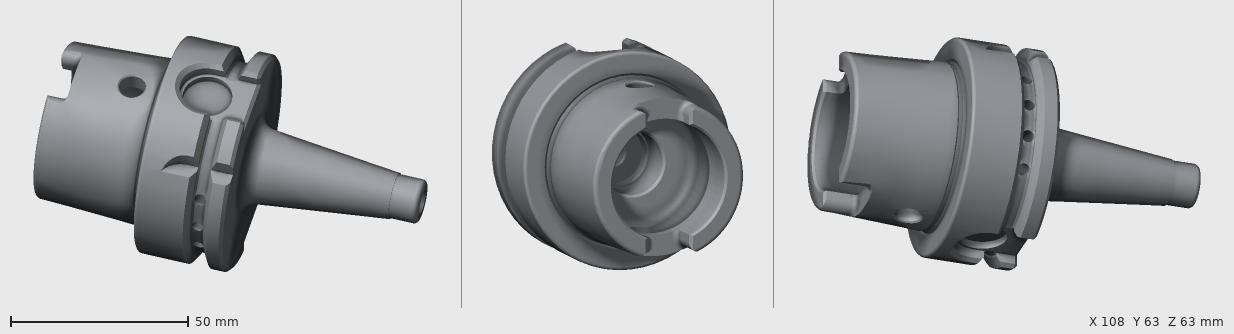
import cadquery as cq
import math


FLANGE_FACE_X = 32.0
TAPER_END_X = 29.9
TAPER_END_RADIUS = 24.2
TAPER_RATE = 0.05
SHANK_ROUND = 1.3
RELIEF_RADIUS = 23.9
RELIEF_LIP_RADIUS = 24.6
RELIEF_OUTER_RADIUS = 25.3
RELIEF_DEPTH = 0.4

FLANGE_RADIUS = 63.0 / 2
FLANGE_END_X = 58.1
FLANGE_ROUND = 1.0
FLANGE_END_CHAMFER = 1.0
GROOVE_START_X = 46.5
GROOVE_END_X = 53.4
GROOVE_WALL_START_X = 48.0
GROOVE_WALL_END_X = 51.7
GROOVE_FLOOR_RADIUS = 27.5
GROOVE_START_DROP = 2.0
GROOVE_END_DROP = 2.8
GROOVE_CORNER = 0.5

NECK_ROUND = 4.3
NECK_RADIUS = 10.8
CONE_END_X = 99.9
CONE_END_RADIUS = 6.7
TIP_RADIUS = 6.4
TIP_ROUND = 1.3
LENGTH = 108.0

MOUTH_RADIUS = 17.1
MOUTH_CHAMFER = 0.6
MOUTH_DEPTH = 12.4
CHAMBER_RADIUS = 18.5
CHAMBER_END_X = 27.8
CHAMBER_ROUND = 2.7
THREAD_RADIUS = 9.1
THREAD_CHAMFER = 0.6
THREAD_END_X = 38.9
COUNTERBORE_RADIUS = 8.5
COUNTERBORE_END_X = 43.2
TOOL_BORE_RADIUS = 3.2
TOOL_BORE_CHAMFER = 0.5

SLOT_HALF_WIDTH = 6.3
SLOT_FLARE_START_Z = 18.0
SLOT_FLARE_RADIUS = 2.8
SLOT_ROUND = 1.6
SLOT_ENTRY_WIDEN = 1.0
SLOT_ENTRY_DEPTH = 0.8
TOP_SLOT_DEPTH = 5.9
BOTTOM_SLOT_DEPTH = 9.7

CROSS_HOLE_X = 22.9
CROSS_HOLE_RADIUS = 3.8
CROSS_HOLE_CHAMFER = 0.4

POCKET_CENTER_X = 44.9
POCKET_RADIUS = 7.9
POCKET_FLOOR_Z = 26.6
POCKET_CHAMFER = 1.3
EDGE_MARGIN = 0.1
RECESS_RADIUS = 7.0
RECESS_DEPTH = 2.2
NOTCH_RADIUS = 7.6
NOTCH_WALL_Y = -20.1
NOTCH_FLOOR_Z = 20.0
BALANCE_HOLE_X = (GROOVE_WALL_START_X + GROOVE_WALL_END_X) / 2
BALANCE_HOLE_RADIUS = 1.7
BALANCE_HOLE_DEPTH = 13.0
DRILL_POINT_ANGLE = 118
BALANCE_HOLE_ANGLES = (25, 5, -15, -35)


def revolve_about_x(profile):
    return profile.close().revolve(360, (0, 0, 0), (1, 0, 0))


def quarter_round(profile, end, center, radius):
    """Continue a profile to `end` along the short arc about `center`."""
    start = profile.val().endPoint()
    middle_x = (start.x + end[0]) / 2 - center[0]
    middle_y = (start.y + end[1]) / 2 - center[1]
    scale = radius / math.hypot(middle_x, middle_y)
    return profile.threePointArc((center[0] + middle_x * scale, center[1] + middle_y * scale), end)


def outer_body():
    mouth_edge = TAPER_END_RADIUS - TAPER_RATE * (TAPER_END_X - SHANK_ROUND)
    lip_x = FLANGE_FACE_X + RELIEF_DEPTH
    profile = cq.Workplane("XY").lineTo(0, mouth_edge - SHANK_ROUND)
    profile = quarter_round(profile, (SHANK_ROUND, mouth_edge),
                            (SHANK_ROUND, mouth_edge - SHANK_ROUND), SHANK_ROUND)
    profile = (
        profile.lineTo(TAPER_END_X, TAPER_END_RADIUS)
        .lineTo(TAPER_END_X + RELIEF_DEPTH, RELIEF_RADIUS)
        .lineTo(FLANGE_FACE_X - RELIEF_DEPTH, RELIEF_RADIUS)
        .lineTo(lip_x, RELIEF_LIP_RADIUS)
        .lineTo(FLANGE_FACE_X, RELIEF_OUTER_RADIUS)
        .lineTo(FLANGE_FACE_X, FLANGE_RADIUS - FLANGE_ROUND)
    )
    profile = quarter_round(profile, (FLANGE_FACE_X + FLANGE_ROUND, FLANGE_RADIUS),
                            (FLANGE_FACE_X + FLANGE_ROUND, FLANGE_RADIUS - FLANGE_ROUND), FLANGE_ROUND)
    profile = (
        profile.lineTo(FLANGE_END_X, FLANGE_RADIUS)
        .lineTo(FLANGE_END_X, NECK_RADIUS + NECK_ROUND)
    )
    profile = quarter_round(profile, (FLANGE_END_X + NECK_ROUND, NECK_RADIUS),
                            (FLANGE_END_X + NECK_ROUND, NECK_RADIUS + NECK_ROUND), NECK_ROUND)
    profile = (
        profile.lineTo(CONE_END_X, CONE_END_RADIUS)
        .lineTo(CONE_END_X, TIP_RADIUS)
        .lineTo(LENGTH - TIP_ROUND, TIP_RADIUS)
    )
    profile = quarter_round(profile, (LENGTH, TIP_RADIUS - TIP_ROUND),
                            (LENGTH - TIP_ROUND, TIP_RADIUS - TIP_ROUND), TIP_ROUND)
    return revolve_about_x(profile.lineTo(LENGTH, 0))


def gripper_groove():
    clear = FLANGE_RADIUS + 1.1
    corner_radius = GROOVE_FLOOR_RADIUS + GROOVE_CORNER
    return revolve_about_x(
        cq.Workplane("XY").moveTo(GROOVE_START_X, clear)
        .lineTo(GROOVE_START_X, FLANGE_RADIUS)
        .lineTo(GROOVE_WALL_START_X, FLANGE_RADIUS - GROOVE_START_DROP)
        .lineTo(GROOVE_WALL_START_X, corner_radius)
        .lineTo(GROOVE_WALL_START_X + GROOVE_CORNER, GROOVE_FLOOR_RADIUS)
        .lineTo(GROOVE_WALL_END_X - GROOVE_CORNER, GROOVE_FLOOR_RADIUS)
        .lineTo(GROOVE_WALL_END_X, corner_radius)
        .lineTo(GROOVE_WALL_END_X, FLANGE_RADIUS - GROOVE_END_DROP)
        .lineTo(GROOVE_END_X, FLANGE_RADIUS)
        .lineTo(GROOVE_END_X, clear)
    )


def inner_bores():
    profile = (
        cq.Workplane("XY")
        .lineTo(0, MOUTH_RADIUS + MOUTH_CHAMFER)
        .lineTo(MOUTH_CHAMFER, MOUTH_RADIUS)
        .lineTo(MOUTH_DEPTH, MOUTH_RADIUS)
        .lineTo(MOUTH_DEPTH, CHAMBER_RADIUS)
        .lineTo(CHAMBER_END_X - CHAMBER_ROUND, CHAMBER_RADIUS)
    )
    profile = quarter_round(profile, (CHAMBER_END_X, CHAMBER_RADIUS - CHAMBER_ROUND),
                            (CHAMBER_END_X - CHAMBER_ROUND, CHAMBER_RADIUS - CHAMBER_ROUND), CHAMBER_ROUND)
    return revolve_about_x(
        profile.lineTo(CHAMBER_END_X, THREAD_RADIUS + THREAD_CHAMFER)
        .lineTo(CHAMBER_END_X + THREAD_CHAMFER, THREAD_RADIUS)
        .lineTo(THREAD_END_X, THREAD_RADIUS)
        .lineTo(THREAD_END_X, COUNTERBORE_RADIUS)
        .lineTo(COUNTERBORE_END_X, COUNTERBORE_RADIUS)
        .lineTo(COUNTERBORE_END_X, TOOL_BORE_RADIUS + TOOL_BORE_CHAMFER)
        .lineTo(COUNTERBORE_END_X + TOOL_BORE_CHAMFER, TOOL_BORE_RADIUS)
        .lineTo(LENGTH, TOOL_BORE_RADIUS)
        .lineTo(LENGTH, 0)
    )


def drive_slot(depth):
    """Slot tool on the +Z side: parallel walls that flare out near the taper surface."""
    start_z = MOUTH_RADIUS / 2
    end_z = TAPER_END_RADIUS + 2.2
    flare_y = SLOT_HALF_WIDTH + SLOT_FLARE_RADIUS
    flare_z = SLOT_FLARE_START_Z + SLOT_FLARE_RADIUS
    outer_y = flare_y + SLOT_FLARE_RADIUS
    diagonal = SLOT_FLARE_RADIUS * math.sqrt(0.5)
    arc_y = flare_y - diagonal
    arc_z = SLOT_FLARE_START_Z + diagonal
    slot = (
        cq.Workplane("YZ")
        .moveTo(-SLOT_HALF_WIDTH, start_z)
        .lineTo(SLOT_HALF_WIDTH, start_z)
        .lineTo(SLOT_HALF_WIDTH, SLOT_FLARE_START_Z)
        .threePointArc((arc_y, arc_z), (flare_y, flare_z))
        .lineTo(outer_y, flare_z)
        .lineTo(outer_y, end_z)
        .lineTo(-outer_y, end_z)
        .lineTo(-outer_y, flare_z)
        .lineTo(-flare_y, flare_z)
        .threePointArc((-arc_y, arc_z), (-SLOT_HALF_WIDTH, SLOT_FLARE_START_Z))
        .close()
        .extrude(depth)
        .faces(">X").edges().fillet(SLOT_ROUND)
    )
    entry_half_width = SLOT_HALF_WIDTH + SLOT_ENTRY_WIDEN
    entry = (
        cq.Workplane("XY", origin=(0, 0, start_z))
        .moveTo(0, -entry_half_width)
        .lineTo(SLOT_ENTRY_DEPTH, -SLOT_HALF_WIDTH)
        .lineTo(SLOT_ENTRY_DEPTH, SLOT_HALF_WIDTH)
        .lineTo(0, entry_half_width)
        .close()
        .extrude(end_z - start_z)
    )
    return slot.union(entry)


def cross_hole():
    reach = TAPER_END_RADIUS + 1.1
    return (
        cq.Workplane("XY", origin=(CROSS_HOLE_X, 0, -reach))
        .circle(CROSS_HOLE_RADIUS)
        .extrude(2 * reach)
    )


def round_ended_channel(center_y, radius, floor_z):
    """Channel open toward +X with a round end at the pocket center, cut down to `floor_z`."""
    height = FLANGE_RADIUS + 1.1 - floor_z
    run = FLANGE_END_X - POCKET_CENTER_X + 1.1
    plane = cq.Workplane("XY", origin=(POCKET_CENTER_X, center_y, floor_z))
    straight = plane.center(run / 2, 0).rect(run, 2 * radius).extrude(height)
    return plane.circle(radius).extrude(height).union(straight)


def pocket_rims():
    """Select the edges where both pockets' walls meet the flange surface."""
    low_x = FLANGE_FACE_X + FLANGE_ROUND
    high_x = FLANGE_END_X - EDGE_MARGIN
    half_width = POCKET_RADIUS + EDGE_MARGIN
    inner_z = POCKET_FLOOR_Z + 1.1
    outer_z = FLANGE_RADIUS + 1.1
    return cq.selectors.SumSelector(
        cq.selectors.BoxSelector((low_x, -half_width, inner_z), (high_x, half_width, outer_z)),
        cq.selectors.BoxSelector((low_x, -half_width, -outer_z), (high_x, half_width, -inner_z)),
    )


def flange_recess():
    return (
        cq.Workplane("XY", origin=(POCKET_CENTER_X, 0, POCKET_FLOOR_Z - RECESS_DEPTH))
        .circle(RECESS_RADIUS)
        .extrude(FLANGE_RADIUS - POCKET_FLOOR_Z + RECESS_DEPTH)
    )


def balance_hole(angle):
    """Radial hole in the groove floor, `angle` degrees up from -Y."""
    tilt = math.radians(angle)
    outward = cq.Vector(0, -math.cos(tilt), math.sin(tilt))
    bottom = outward * (GROOVE_FLOOR_RADIUS - BALANCE_HOLE_DEPTH) + cq.Vector(BALANCE_HOLE_X, 0, 0)
    point_depth = BALANCE_HOLE_RADIUS / math.tan(math.radians(DRILL_POINT_ANGLE / 2))
    shaft = cq.Solid.makeCylinder(BALANCE_HOLE_RADIUS, BALANCE_HOLE_DEPTH + 1.1, bottom, outward)
    point = cq.Solid.makeCone(BALANCE_HOLE_RADIUS, 0, point_depth, bottom, outward * -1)
    return cq.Workplane(shaft.fuse(point))


body = outer_body().cut(cross_hole())
for rim_z in (-TAPER_END_RADIUS, TAPER_END_RADIUS):
    rim_point = (CROSS_HOLE_X, 0, rim_z)
    body = body.edges(cq.selectors.NearestToPointSelector(rim_point)).chamfer(CROSS_HOLE_CHAMFER)

pocket = round_ended_channel(0, POCKET_RADIUS, POCKET_FLOOR_Z)
body = body.cut(pocket).cut(pocket.mirror("XY"))
body = body.edges(pocket_rims()).chamfer(POCKET_CHAMFER)
end_face = body.faces(cq.selectors.NearestToPointSelector((FLANGE_END_X, 0, 0))).val()
body = body.newObject([end_face.outerWire()]).edges().chamfer(FLANGE_END_CHAMFER)

body = body.cut(gripper_groove()).cut(inner_bores())
body = body.cut(drive_slot(TOP_SLOT_DEPTH)).cut(drive_slot(BOTTOM_SLOT_DEPTH).mirror("XY"))
body = body.cut(flange_recess()).cut(flange_recess().mirror("XY"))
body = body.cut(round_ended_channel(NOTCH_WALL_Y - NOTCH_RADIUS, NOTCH_RADIUS, NOTCH_FLOOR_Z))
for hole_angle in BALANCE_HOLE_ANGLES:
    body = body.cut(balance_hole(hole_angle))

result = body